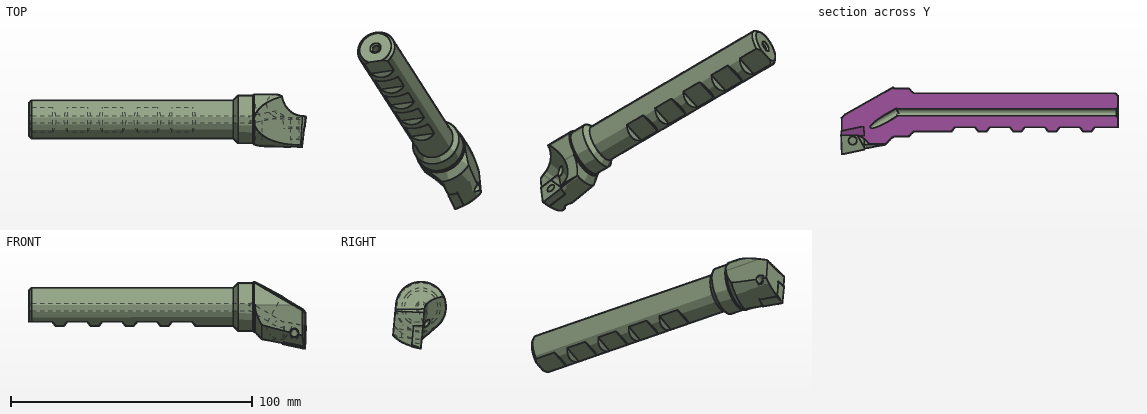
import cadquery as cq
import math


SHANK_DIAMETER = 16.0
SHANK_RADIUS = SHANK_DIAMETER / 2
SHANK_END_CHAMFER = 1.2

COOLANT_RADIUS = 1.5
COOLANT_CHAMFER = 0.8
COOLANT_BEND_X = 92.0
COOLANT_OVERLAP = 0.9
COOLANT_OUTLET_RUN = cq.Vector(16.1, 3.3, -9.4)

NOTCH_COUNT = 5
NOTCH_PITCH = 14.5
NOTCH_FLOOR_LENGTH = 8.4
NOTCH_FLANK_RUN = 1.4
NOTCH_FLOOR_Z = -6.2
FIRST_NOTCH_FLOOR_END = 9.8

COLLAR_RADIUS = 10.0
COLLAR_START = 84.8
COLLAR_CHAMFER = COLLAR_RADIUS - SHANK_RADIUS
HEAD_START = 92.9

HEAD_RADIUS = 10.5
HEAD_STEP = HEAD_RADIUS - COLLAR_RADIUS
HEAD_FULL_X = HEAD_START + HEAD_STEP
BELLY_START_X = 96.6
BELLY_START_RADIUS = 13.5
BELLY_SLOPE = 10.5
SIDE_TILT = 5.4
TOP_SLOPE = 29.5
TOP_ROLL = 2.5
END_X = 114.8
END_ALLOWANCE = 0.6
BLANK_END_X = END_X + END_ALLOWANCE
END_Y = 0.9
END_ANGLE = 6.6
END_CHAMFER_Z = -2.3
END_CHAMFER_ANGLE = 48.0
END_ROLL = 2.5
BEYOND = 34.5

TIP_X = 114.7
TIP_Z = -17.5
RAKE_TILT = 5.0
INSERT_SIDE = 9.7
INSERT_THICKNESS = 3.9
INSERT_CLEARANCE = 7.0
INSERT_CORNER = 80.0
INSERT_EDGE_RISE = 12.1
NOSE_RADIUS = 0.3

POCKET_RADIUS = 10.4
POCKET_TILT = 30.0
POCKET_CENTRE_X = 113.3
POCKET_CENTRE_Z = -0.6

SCREW_RADIUS = 1.7
SCREW_LENGTH = 8.6


def polar(radius, degrees):
    return radius * math.cos(math.radians(degrees)), radius * math.sin(math.radians(degrees))


def lean(shape):
    """Tip a shape built on the plane y = 0 so that its face becomes the rake plane."""
    return shape.rotate((0, 0, TIP_Z), (1, 0, TIP_Z), -RAKE_TILT)


def xz_prism(points, y_min, y_max):
    """Prism of an XZ outline between two Y values."""
    return (
        cq.Workplane("XZ", origin=(0, y_max, 0))
        .polyline(points)
        .close()
        .extrude(y_max - y_min)
    )


def insert_outline(plane):
    """Rhombic outline with the cutting tip at its lowest corner."""
    edge_x, edge_z = polar(INSERT_SIDE, 180 - INSERT_EDGE_RISE)
    end_x, end_z = polar(INSERT_SIDE, 180 - INSERT_EDGE_RISE - INSERT_CORNER)
    return plane.polyline([
        (TIP_X, TIP_Z),
        (TIP_X + edge_x, TIP_Z + edge_z),
        (TIP_X + edge_x + end_x, TIP_Z + edge_z + end_z),
        (TIP_X + end_x, TIP_Z + end_z),
    ]).close()


def insert_blank():
    """Insert without its screw hole, seated on the rake plane."""
    blank = (
        insert_outline(cq.Workplane("XZ"))
        .extrude(INSERT_THICKNESS, taper=INSERT_CLEARANCE)
        .edges("not #Y")
        .fillet(NOSE_RADIUS)
    )
    return lean(blank)


def screw_axis_cylinder(length):
    """Cylinder from the rake plane along the screw axis, through the insert centre."""
    half_diagonal = INSERT_SIDE * math.cos(math.radians(INSERT_CORNER / 2))
    dx, dz = polar(half_diagonal, 180 - INSERT_EDGE_RISE - INSERT_CORNER / 2)
    cylinder = (
        cq.Workplane("XZ")
        .center(TIP_X + dx, TIP_Z + dz)
        .circle(SCREW_RADIUS)
        .extrude(length)
    )
    return lean(cylinder)


def turned_blank():
    """Shank, collar and round head as one turned profile."""
    return (
        cq.Workplane("XY")
        .polyline([
            (0, 0),
            (0, SHANK_RADIUS - SHANK_END_CHAMFER),
            (SHANK_END_CHAMFER, SHANK_RADIUS),
            (COLLAR_START, SHANK_RADIUS),
            (COLLAR_START + COLLAR_CHAMFER, COLLAR_RADIUS),
            (HEAD_START, COLLAR_RADIUS),
            (HEAD_FULL_X, HEAD_RADIUS),
            (BLANK_END_X, HEAD_RADIUS),
            (BLANK_END_X, 0),
        ])
        .close()
        .revolve(360, (0, 0, 0), (1, 0, 0))
    )


def belly():
    """Conical underside of the head, kept between the flat side and the chip side."""
    end_radius = BELLY_START_RADIUS + (BLANK_END_X - BELLY_START_X) * math.tan(math.radians(BELLY_SLOPE))
    cone = (
        cq.Workplane("XY")
        .polyline([
            (HEAD_FULL_X, 0),
            (HEAD_FULL_X, COLLAR_RADIUS),
            (BELLY_START_X, BELLY_START_RADIUS),
            (BLANK_END_X, end_radius),
            (BLANK_END_X, 0),
        ])
        .close()
        .revolve(360, (0, 0, 0), (1, 0, 0))
    )
    side_y, side_z = polar(HEAD_RADIUS, 180 - SIDE_TILT)
    side_low_y = side_y - (side_z + BEYOND) * math.tan(math.radians(SIDE_TILT))
    lip_y = (-BELLY_START_RADIUS - TIP_Z) * math.tan(math.radians(RAKE_TILT))
    lip_reach = math.hypot(lip_y, BELLY_START_RADIUS)
    lip_angle = math.degrees(math.atan2(-BELLY_START_RADIUS, lip_y))
    tangent = polar(HEAD_RADIUS, lip_angle + math.degrees(math.acos(HEAD_RADIUS / lip_reach)))
    section = (
        cq.Workplane("YZ", origin=(HEAD_FULL_X, 0, 0))
        .polyline([
            (0, 0),
            (side_y, side_z),
            (side_low_y, -BEYOND),
            (lip_y, -BEYOND),
            (lip_y, -BELLY_START_RADIUS),
            tangent,
        ])
        .close()
        .extrude(BEYOND)
    )
    return cone.intersect(section)


def top_waste():
    """Material above the sloping top, which starts at the crown of the head."""
    waste = cq.Workplane("XY").box(2 * BEYOND, 2 * BEYOND, BEYOND, centered=(True, True, False))
    return (
        waste.rotate((0, 0, 0), (1, 0, 0), TOP_ROLL)
        .rotate((0, 0, 0), (0, 1, 0), TOP_SLOPE)
        .translate((HEAD_FULL_X, 0, HEAD_RADIUS))
    )


def end_waste():
    """Material beyond the swept-back end face and its top chamfer."""
    chamfer_dx, chamfer_dz = polar(BEYOND, 180 - END_CHAMFER_ANGLE)
    waste = xz_prism([
        (END_X, -BEYOND),
        (END_X, END_CHAMFER_Z),
        (END_X + chamfer_dx, END_CHAMFER_Z + chamfer_dz),
        (END_X + BEYOND, END_CHAMFER_Z + chamfer_dz),
        (END_X + BEYOND, -BEYOND),
    ], -BEYOND, BEYOND)
    rolled = waste.rotate((0, END_Y, END_CHAMFER_Z), (1, END_Y, END_CHAMFER_Z), -END_ROLL)
    return rolled.rotate((END_X, END_Y, 0), (END_X, END_Y, 1), -END_ANGLE)


def chip_pocket():
    """Chip space above the rake plane: flat floor running into a concave round wall."""
    waste = (
        cq.Workplane("XY")
        .moveTo(BEYOND, 0)
        .lineTo(0, 0)
        .radiusArc((-POCKET_RADIUS, POCKET_RADIUS), POCKET_RADIUS)
        .lineTo(-POCKET_RADIUS, BEYOND)
        .lineTo(BEYOND, BEYOND)
        .close()
        .extrude(BEYOND, both=True)
    )
    placed = (
        waste.rotate((0, 0, 0), (0, 1, 0), POCKET_TILT)
        .translate((POCKET_CENTRE_X, 0, POCKET_CENTRE_Z))
    )
    return lean(placed)


def notch(index):
    """Trapezoidal clamping notch; the first one runs out through the back end."""
    end = FIRST_NOTCH_FLOOR_END + index * NOTCH_PITCH
    start = end - NOTCH_FLOOR_LENGTH if index else -NOTCH_FLOOR_LENGTH
    return xz_prism([
        (start, NOTCH_FLOOR_Z),
        (end, NOTCH_FLOOR_Z),
        (end + NOTCH_FLANK_RUN, -SHANK_RADIUS),
        (start - NOTCH_FLANK_RUN, -SHANK_RADIUS),
    ], -SHANK_RADIUS, SHANK_RADIUS)


def coolant_bore():
    """Countersunk bore along the axis, ending at the bend."""
    return (
        cq.Workplane("XY")
        .polyline([
            (0, 0),
            (0, COOLANT_RADIUS + COOLANT_CHAMFER),
            (COOLANT_CHAMFER, COOLANT_RADIUS),
            (COOLANT_BEND_X, COOLANT_RADIUS),
            (COOLANT_BEND_X, 0),
        ])
        .close()
        .revolve(360, (0, 0, 0), (1, 0, 0))
    )


def coolant_outlet():
    """Slanted outlet, starting inside the axial bore so that the two overlap at the bend."""
    direction = COOLANT_OUTLET_RUN.normalized()
    start = cq.Vector(COOLANT_BEND_X, 0, 0) - direction * COOLANT_OVERLAP
    length = COOLANT_OUTLET_RUN.Length + COOLANT_OVERLAP
    return cq.Workplane(cq.Solid.makeCylinder(COOLANT_RADIUS, length, start, direction))


def make_holder(blank):
    holder = turned_blank().union(belly())
    for index in range(NOTCH_COUNT):
        holder = holder.cut(notch(index))
    holder = holder.cut(top_waste())
    holder = holder.cut(end_waste())
    holder = holder.cut(chip_pocket())
    holder = holder.cut(coolant_bore())
    holder = holder.cut(coolant_outlet())
    holder = holder.cut(blank)
    return holder.cut(screw_axis_cylinder(BEYOND))


def make_insert(blank):
    return blank.cut(screw_axis_cylinder(BEYOND))


def make_screw():
    return screw_axis_cylinder(SCREW_LENGTH)


blank = insert_blank()
holder = make_holder(blank)
insert = make_insert(blank)
screw = make_screw()

result = cq.Compound.makeCompound([holder.solids().val(), insert.solids().val(), screw.val()])